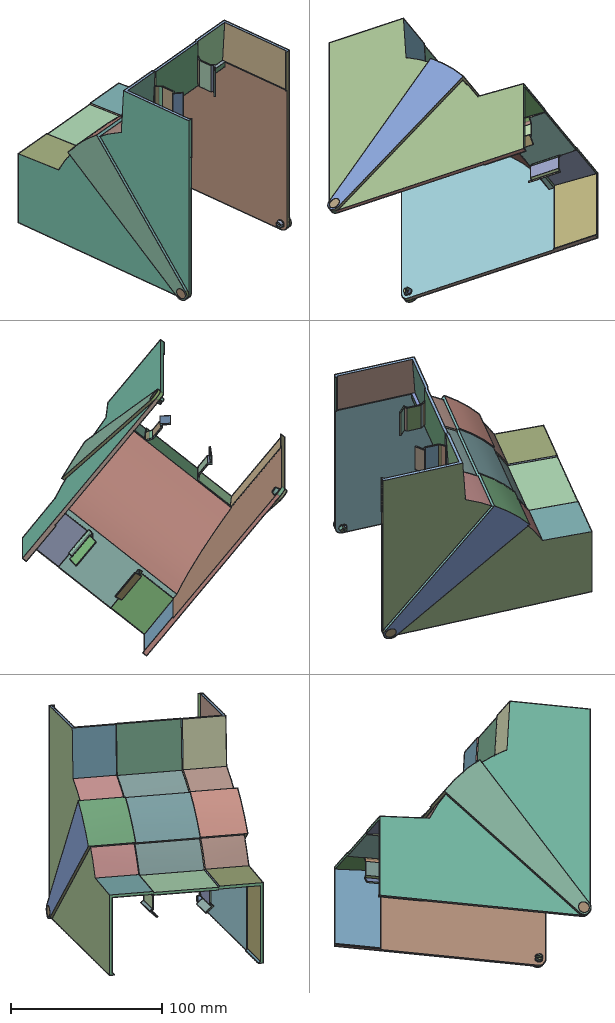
import cadquery as cq
import math

SIZE = 145.0
COVER_WIDTH = 109.6
COVER_WALL = 2.0
CORNER_WIDTH = COVER_WIDTH - 2 * COVER_WALL

PIVOT_INSET = 5.0
PIVOT_X = SIZE - PIVOT_INSET
PIVOT_Z = PIVOT_INSET

END_HEIGHT = 55.4
ROOF_SLOPE = math.radians(3.3)
BEND_RADIUS = 118.0
SHEET = 2.0
LINING = 0.65
SOCKET_DEPTH = 31.2
STRIP_WIDTH = 44.4
STRIP_SINK = 0.7
STRIP_EDGE = 0.7
CAVITY_WIDTH = CORNER_WIDTH - 2 * (SHEET + LINING)
SOCKET_WIDTH = CORNER_WIDTH - 2 * SHEET
CAVITY_HEIGHT = END_HEIGHT - SHEET - LINING

LIP_REACH = 1.4
LIP_THICKNESS = 0.4
LIP_ROOT = 1.4

CLIP_THICKNESS = 0.95
CLIP_START = 11.7
CLIP_LENGTH = 21.0
CLIP_ROOT_Y = 22.6
CLIP_CURVE_Y = 20.8
CLIP_LEG_Y = 19.6
CLIP_BARB_Y = 21.4
CLIP_TIP_Y = 16.6
CLIP_CURVE_DROP = 1.6
CLIP_LEG_TOP_DROP = 3.6
CLIP_LEG_END_DROP = 13.0
CLIP_BARB_DROP = 14.3
CLIP_TIP_DROP = 18.7

COVER_RADIUS = BEND_RADIUS + COVER_WALL
COVER_HALF_ANGLE = math.radians(5.9)
BISECTOR = math.radians(135.0)

HEAD_RADIUS = 3.7
SHANK_RADIUS = 2.1
BARB_RADIUS = 2.8
BARB_LENGTH = 2.7
PIN_SLOT = 1.35


def prism(outline, width):
    """Extrude an XZ outline symmetrically about Y = 0."""
    return outline.extrude(width / 2, both=True)


def pivot_point(radius, angle):
    return (PIVOT_X + radius * math.cos(angle), PIVOT_Z + radius * math.sin(angle))


def other_arm(point):
    """The matching XZ point on the other arm."""
    x, z = point
    return (SIZE - z, SIZE - x)


def swap_arms(body):
    """Half turn about the diagonal X + Z = SIZE: exchanges the arms and the two side walls."""
    return body.rotate((0, 0, SIZE), (SIZE, 0, 0), 180)


def bend_start(height, slope, radius):
    """Where a roof rising from (0, height) meets the circle of the bend."""
    along = PIVOT_X * math.cos(slope) + (PIVOT_Z - height) * math.sin(slope)
    across = (PIVOT_Z - height) * math.cos(slope) - PIVOT_X * math.sin(slope)
    run = along - math.sqrt(radius**2 - across**2)
    return (run * math.cos(slope), height + run * math.sin(slope))


def corner_outline(height, slope, radius):
    """Closed L-shaped XZ outline with a rounded bend and a rounded heel."""
    start = bend_start(height, slope, radius)
    return (
        cq.Workplane("XZ")
        .moveTo(0, 0)
        .lineTo(0, height)
        .lineTo(*start)
        .threePointArc(pivot_point(radius, BISECTOR), other_arm(start))
        .lineTo(*other_arm((0, height)))
        .lineTo(SIZE, SIZE)
        .lineTo(SIZE, PIVOT_Z)
        .threePointArc(pivot_point(PIVOT_INSET, BISECTOR + math.pi), (PIVOT_X, 0))
        .close()
    )


def roof_outline(sink):
    """Outline of the corner with its roof lowered by `sink`, square to the roof."""
    return corner_outline(END_HEIGHT - sink / math.cos(ROOF_SLOPE), ROOF_SLOPE, BEND_RADIUS - sink)


def strip_band(width):
    """Everything within `width` about Y = 0."""
    return cq.Workplane("XY").box(4 * SIZE, width, 4 * SIZE)


def strip_edge():
    """Slice whose roof slopes from the sunken strip up to the -Y side of the roof."""
    lower = roof_outline(STRIP_SINK).wire().val().translate((0, -STRIP_WIDTH / 2, 0))
    upper = roof_outline(0).wire().val().translate((0, -STRIP_WIDTH / 2 - STRIP_EDGE, 0))
    return cq.Workplane(cq.Solid.makeLoft([lower, upper], True))


def corner_envelope():
    """Outside shape of the corner as one solid block."""
    body = prism(roof_outline(0), CORNER_WIDTH).cut(strip_band(STRIP_WIDTH + 2 * STRIP_EDGE))
    body = body.union(prism(roof_outline(STRIP_SINK), STRIP_WIDTH))
    edge = strip_edge()
    return body.union(edge).union(edge.mirror("XZ"))


def socket():
    """Space that thins the walls and the roof sides at the lower arm's open end."""
    roof = END_HEIGHT - SHEET / math.cos(ROOF_SLOPE)
    outline = (
        cq.Workplane("XZ")
        .lineTo(0, roof)
        .lineTo(SOCKET_DEPTH, roof + SOCKET_DEPTH * math.tan(ROOF_SLOPE))
        .lineTo(SOCKET_DEPTH, 0)
        .close()
    )
    under_strip = strip_band(STRIP_WIDTH).translate((0, 0, CAVITY_HEIGHT + 2 * SIZE))
    return prism(outline, SOCKET_WIDTH).cut(under_strip)


def lip(side):
    """Lip along the bottom edge of one socket wall of the lower arm."""
    wall = SOCKET_WIDTH / 2
    edge = wall - LIP_REACH
    points = [(wall, 0), (edge, 0), (edge, LIP_THICKNESS), (wall, LIP_ROOT)]
    return cq.Workplane("YZ").polyline([(side * y, z) for y, z in points]).close().extrude(SOCKET_DEPTH)


def ribbon(points, thickness):
    """Outline of a bent sheet with mitred bends along the given centre line."""
    angles = [math.atan2(b[1] - a[1], b[0] - a[0]) for a, b in zip(points, points[1:])]
    before = angles[:1] + angles
    after = angles + angles[-1:]
    left, right = [], []
    for (u, v), a, b in zip(points, before, after):
        normal = (a + b) / 2 + math.pi / 2
        reach = thickness / 2 / math.cos((b - a) / 2)
        left.append((u + reach * math.cos(normal), v + reach * math.sin(normal)))
        right.append((u - reach * math.cos(normal), v - reach * math.sin(normal)))
    return left + right[::-1]


def clip(side):
    """Spring clip hanging from one edge of the sunken strip in the lower arm."""
    centre_line = [
        (CLIP_ROOT_Y, -LINING),
        (CLIP_CURVE_Y, CLIP_CURVE_DROP),
        (CLIP_LEG_Y, CLIP_LEG_TOP_DROP),
        (CLIP_LEG_Y, CLIP_LEG_END_DROP),
        (CLIP_BARB_Y, CLIP_BARB_DROP),
        (CLIP_TIP_Y, CLIP_TIP_DROP),
    ]
    points = [(side * y, CAVITY_HEIGHT - drop) for y, drop in centre_line]
    outline = cq.Workplane("YZ", origin=(CLIP_START, 0, 0)).polyline(ribbon(points, CLIP_THICKNESS)).close()
    return outline.extrude(CLIP_LENGTH)


def make_corner():
    """L-shaped channel that joins two trunking runs."""
    cavity = corner_outline(CAVITY_HEIGHT, 0, BEND_RADIUS - SHEET - LINING)
    body = corner_envelope().cut(prism(cavity, CAVITY_WIDTH))
    end_socket = socket()
    body = body.cut(end_socket).cut(swap_arms(end_socket))
    for side in (-1, 1):
        for feature in (lip(side), clip(side)):
            body = body.union(feature).union(swap_arms(feature))
    return body


def sector_outline(radius):
    """Sector whose straight edges are tangent to the heel circle."""
    edge = PIVOT_INSET
    corner_angle = COVER_HALF_ANGLE + math.asin(edge / radius)
    tangent_angle = COVER_HALF_ANGLE + math.pi / 2
    return (
        cq.Workplane("XZ")
        .moveTo(*pivot_point(edge, BISECTOR - tangent_angle))
        .lineTo(*pivot_point(radius, BISECTOR - corner_angle))
        .threePointArc(pivot_point(radius, BISECTOR), pivot_point(radius, BISECTOR + corner_angle))
        .lineTo(*pivot_point(edge, BISECTOR + tangent_angle))
        .threePointArc(pivot_point(edge, BISECTOR + math.pi), pivot_point(edge, BISECTOR - tangent_angle))
        .close()
    )


def make_cover():
    """Sector-shaped bridge over the bend, with a sunken middle strip that follows the corner."""
    body = prism(sector_outline(COVER_RADIUS), COVER_WIDTH).cut(strip_band(STRIP_WIDTH))
    body = body.union(prism(sector_outline(COVER_RADIUS - STRIP_SINK), STRIP_WIDTH))
    return body.cut(corner_envelope())


def make_pin():
    """Snap pin of the -Y wall: flush head, shank and a slotted barb on the inside."""
    outer_face = -COVER_WIDTH / 2
    head_end = outer_face + COVER_WALL
    barb_start = -CAVITY_WIDTH / 2
    barb_end = barb_start + BARB_LENGTH
    half_profile = [
        (0, outer_face),
        (HEAD_RADIUS, outer_face),
        (HEAD_RADIUS, head_end),
        (SHANK_RADIUS, head_end),
        (SHANK_RADIUS, barb_start),
        (BARB_RADIUS, barb_start),
        (SHANK_RADIUS, barb_end),
        (0, barb_end),
    ]
    pin = cq.Workplane("XY").polyline(half_profile).close().revolve(360, (0, 0), (0, 1))
    slot_length = barb_end - head_end
    slot = cq.Workplane("XY").box(PIN_SLOT, slot_length, 2 * BARB_RADIUS).translate(
        (0, (head_end + barb_end) / 2, 0)
    )
    return pin.cut(slot).translate((PIVOT_X, 0, PIVOT_Z))


def pin_bore(radius, width):
    return prism(cq.Workplane("XZ").center(PIVOT_X, PIVOT_Z).circle(radius), width)


corner = make_corner().cut(pin_bore(SHANK_RADIUS, CORNER_WIDTH))
cover = make_cover().cut(pin_bore(HEAD_RADIUS, COVER_WIDTH))
front_pin = make_pin()
pins = [front_pin, swap_arms(front_pin)]

result = cq.Compound.makeCompound([corner.val(), cover.val(), *[pin.val() for pin in pins]])